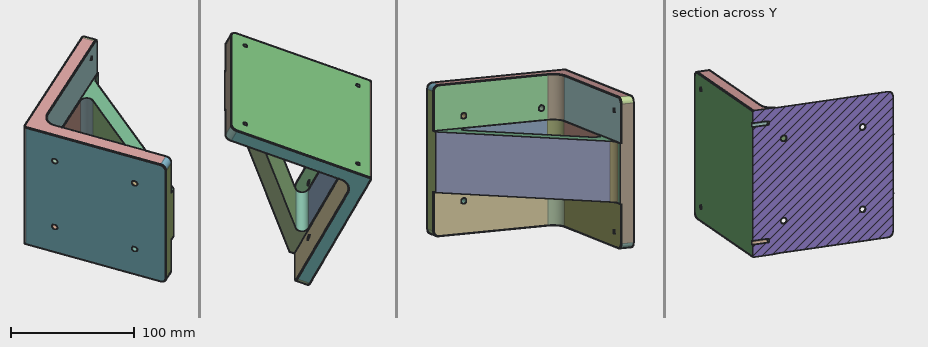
import cadquery as cq
import math

side = 125.0
plate_thickness = 12.1
inner_radius = 10.0
outer_radius = 2.0
plate_corner_radius = 5.0
edge_chamfer = 0.65

gusset_thickness = 50.0
gusset_step = 0.7
gusset_tip_height = 16.5
gusset_top = 116.2
gusset_blend_radius = 10.0
brace_width = 12.2
window_corner_radius = 5.5

front_hole_diameter = 4.8
front_hole_pitch = 70.0
side_hole_diameter = 3.3
side_hole_pitch = 100.0
side_hole_depth = 14.0
drill_point_angle = 118.0

middle = side / 2
foot = plate_thickness + gusset_step
slope = (gusset_top - gusset_tip_height) / (side - foot)
slope_angle = math.atan(slope)
window_top = gusset_top - brace_width / math.cos(slope_angle)
window_right = foot + (window_top - foot) / slope


def near(x, y, z=middle):
    """Selector for the edge whose centre is nearest to a point."""
    return cq.selectors.NearestToPointSelector((x, y, z))


def make_angle():
    """Two plates at right angles with rounded free corners and chamfered rims."""
    front_plate = cq.Workplane("XY").box(side, plate_thickness, side, centered=False)
    front_plate = front_plate.edges("|Y and >X").fillet(plate_corner_radius)
    side_plate = cq.Workplane("XY").box(plate_thickness, side, side, centered=False)
    side_plate = side_plate.edges("|X and >Y").fillet(plate_corner_radius)
    angle = front_plate.union(side_plate)
    angle = angle.edges(near(plate_thickness, plate_thickness)).fillet(inner_radius)
    angle = angle.edges(near(0, 0)).fillet(outer_radius)
    rim_points = [
        (middle, 0, 0),
        (middle, plate_thickness, 0),
    ]
    for point in rim_points:
        angle = angle.edges(near(*point)).chamfer(edge_chamfer)
    return angle


def make_gusset():
    """Triangular brace with a rounded triangular window, lapping into both plates."""
    lap = plate_thickness / 2
    outline = [
        (lap, lap),
        (side, lap),
        (side, gusset_tip_height),
        (foot, gusset_top),
        (foot, side),
        (lap, side),
    ]
    window_outline = [
        (foot, foot),
        (window_right, foot),
        (foot, window_top),
    ]
    plane = cq.Workplane("XY", origin=(0, 0, middle - gusset_thickness / 2))
    gusset = plane.polyline(outline).close().extrude(gusset_thickness)
    gusset = gusset.edges(near(foot, gusset_top)).fillet(gusset_blend_radius)
    window = plane.polyline(window_outline).close().extrude(gusset_thickness)
    window = window.edges(near(foot, foot)).fillet(inner_radius)
    window = window.edges(near(window_right, foot)).fillet(window_corner_radius)
    window = window.edges(near(foot, window_top)).fillet(window_corner_radius)
    return gusset.cut(window)


def square_pattern(plane, pitch):
    """Workplane carrying the four corners of a square centred on a plate."""
    return plane.center(middle, middle).rect(pitch, pitch, forConstruction=True).vertices()


def make_front_holes():
    """Plain holes through the front plate."""
    plane = cq.Workplane("XZ")
    pattern = square_pattern(plane, front_hole_pitch)
    depth = plate_thickness + gusset_step
    return pattern.circle(front_hole_diameter / 2).extrude(-depth)


def make_side_holes():
    """Drilled holes with conical bottoms; those near the corner end blind in the front plate."""
    radius = side_hole_diameter / 2
    point_length = radius / math.tan(math.radians(drill_point_angle / 2))
    profile = [
        (0, 0),
        (0, radius),
        (side_hole_depth, radius),
        (side_hole_depth + point_length, 0),
    ]
    drill = cq.Workplane("XY").polyline(profile).close().revolve(360, (0, 0), (1, 0)).val()
    pattern = square_pattern(cq.Workplane("YZ"), side_hole_pitch)
    holes = [drill.translate(vertex.Center()) for vertex in pattern.vals()]
    return cq.Workplane("XY").newObject(holes).combine()


angle_bracket = make_angle().union(make_gusset())
result = angle_bracket.cut(make_front_holes()).cut(make_side_holes())